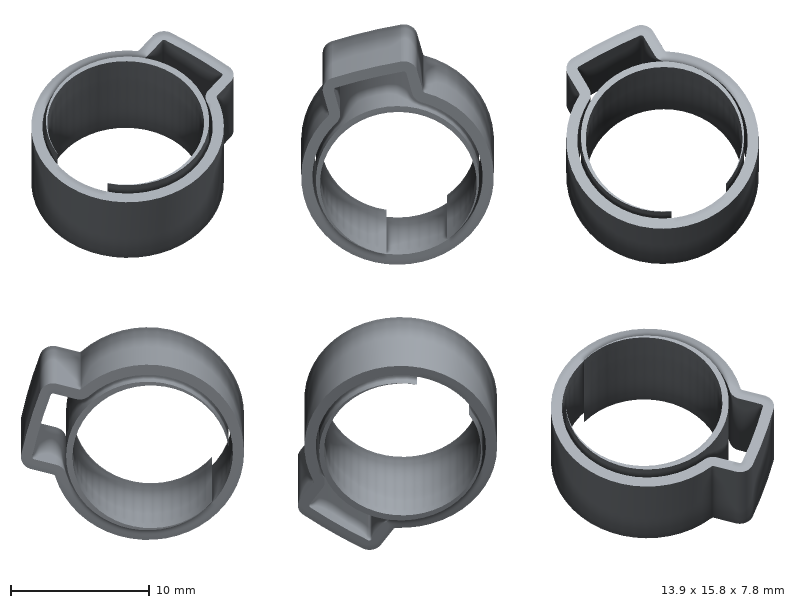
import cadquery as cq
import math

band_radius = 6.95
strip_thickness = 0.8
band_width = 6.5
ear_half_width = 3.5
ear_top = 8.85
ear_crown_radius = 37.9
tight_bend = 0.19
wide_bend = tight_bend + strip_thickness

liner_radius = 5.89
liner_bore_radius = 5.65
liner_width = 7.8
liner_gap = 4.52
bore_shift = liner_radius - liner_bore_radius


def loop_prism(inset, corner_radius, neck_radius):
    """Solid bounded by the clamp outline moved inward by inset: disc, ear and rounded bends."""
    radius = band_radius - inset
    half_width = ear_half_width - inset
    crown_radius = ear_crown_radius - inset
    crown_y = ear_top - inset
    shoulder_y = crown_y - crown_radius + math.sqrt(crown_radius**2 - half_width**2)
    neck_y = math.sqrt(radius**2 - half_width**2)

    prism = (
        cq.Workplane("XY")
        .moveTo(half_width, neck_y)
        .lineTo(half_width, shoulder_y)
        .threePointArc((0, crown_y), (-half_width, shoulder_y))
        .lineTo(-half_width, neck_y)
        .threePointArc((0, -radius), (half_width, neck_y))
        .close()
        .extrude(band_width / 2, both=True)
    )
    middle_y = (neck_y + shoulder_y) / 2
    corners = prism.edges("|Z").edges(cq.selectors.BoxSelector(
        (-band_radius, middle_y, -band_width), (band_radius, ear_top, band_width)))
    prism = corners.fillet(corner_radius)
    necks = prism.edges("|Z").edges(cq.selectors.BoxSelector(
        (-band_radius, 0, -band_width), (band_radius, middle_y, band_width)))
    return necks.fillet(neck_radius)


def make_clamp():
    outside = loop_prism(0, wide_bend, tight_bend)
    inside = loop_prism(strip_thickness, tight_bend, wide_bend)
    return outside.cut(inside)


def make_liner():
    """Crescent outline: two arcs that run from one thin end around +Y to the other."""
    end_x = liner_gap / 2
    outer_end_y = -math.sqrt(liner_radius**2 - end_x**2)
    bore_end_y = -bore_shift - math.sqrt(liner_bore_radius**2 - end_x**2)
    bore_top_y = liner_bore_radius - bore_shift
    return (
        cq.Workplane("XY")
        .moveTo(end_x, outer_end_y)
        .threePointArc((0, liner_radius), (-end_x, outer_end_y))
        .lineTo(-end_x, bore_end_y)
        .threePointArc((0, bore_top_y), (end_x, bore_end_y))
        .close()
        .extrude(liner_width / 2, both=True)
    )


clamp = make_clamp()
liner = make_liner()
result = cq.Compound.makeCompound([clamp.val(), liner.val()])